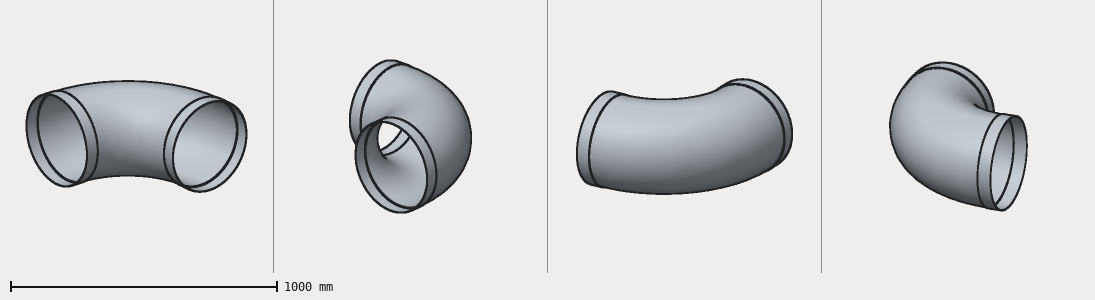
import cadquery as cq

overall_length = 588.5
collar_diameter = 360.5
pipe_diameter = 356.5
collar_length = 53.0
collar_bore = 355.0
pipe_bore = 349.0

collar_radius = collar_diameter / 2
bend_radius = overall_length - collar_length - collar_radius


def bend(diameter):
    """Solid quarter-torus from the -Y mouth at the origin round to the +X mouth."""
    return (
        cq.Workplane("XZ")
        .circle(diameter / 2)
        .revolve(90, (bend_radius, 0, 0), (bend_radius, -1, 0))
    )


def mouth_cylinders(diameter):
    """Straight cylinders running outward from both ends of the bend."""
    front = cq.Workplane("XZ").circle(diameter / 2).extrude(collar_length)
    side = (
        cq.Workplane("YZ", origin=(bend_radius, bend_radius, 0))
        .circle(diameter / 2)
        .extrude(collar_length)
    )
    return front.union(side)


elbow = bend(pipe_diameter).cut(bend(pipe_bore))
collars = mouth_cylinders(collar_diameter).cut(mouth_cylinders(collar_bore))
result = elbow.union(collars)